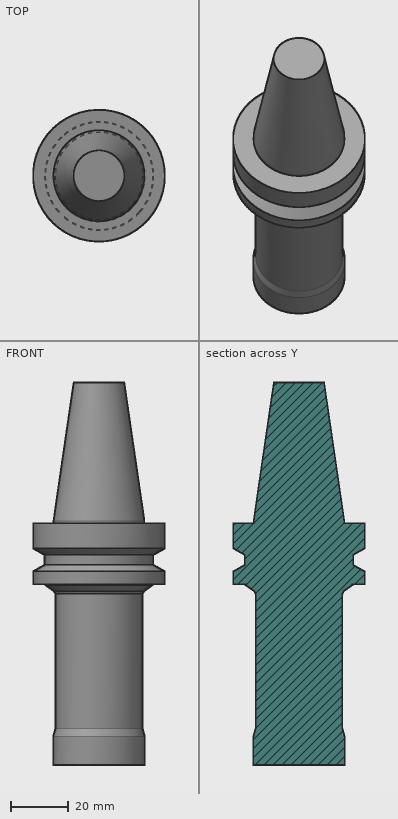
import cadquery as cq

collar_diameter = 32.0
neck_diameter = 30.4
flange_diameter = 46.0
groove_diameter = 38.0
gauge_diameter = 31.7
shoulder_diameter = 37.4
shoulder_cone_small_diameter = 31.3

collar_top = 10.0
collar_cone_top = 12.8
neck_top = 59.6
shoulder_cone_bottom = 60.5
shoulder_cone_top = 62.7
flange_bottom = 63.0
groove_lower_edge = 67.5
groove_floor_bottom = 69.8
groove_floor_top = 73.2
groove_upper_edge = 75.5
flange_top = 84.3
gauge_height = 85.1
total_height = 133.4

taper_ratio = 7 / 24
tip_diameter = gauge_diameter - taper_ratio * (total_height - gauge_height)

outline_corners = [
    (collar_diameter, 0),
    (collar_diameter, collar_top),
    (neck_diameter, collar_cone_top),
    (neck_diameter, neck_top),
    (shoulder_cone_small_diameter, shoulder_cone_bottom),
    (shoulder_diameter, shoulder_cone_top),
    (shoulder_diameter, flange_bottom),
    (flange_diameter, flange_bottom),
    (flange_diameter, groove_lower_edge),
    (groove_diameter, groove_floor_bottom),
    (groove_diameter, groove_floor_top),
    (flange_diameter, groove_upper_edge),
    (flange_diameter, flange_top),
    (gauge_diameter, flange_top),
    (gauge_diameter, gauge_height),
    (tip_diameter, total_height),
]

profile = cq.Workplane("XZ").moveTo(0, 0)
for diameter, height in outline_corners:
    profile = profile.lineTo(diameter / 2, height)
profile = profile.lineTo(0, total_height).close()

result = profile.revolve(360, (0, 0, 0), (0, 1, 0))